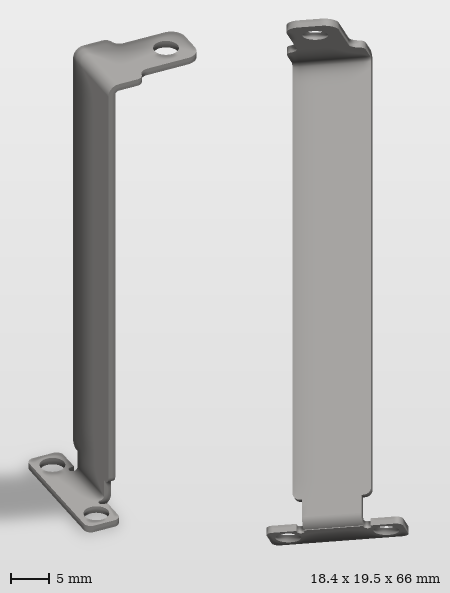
import cadquery as cq
import math

thickness = 1.0
inner_bend_radius = 0.5
outer_bend_radius = inner_bend_radius + thickness
height = 66.0

strip_width = 10.6
strip_corner_radius = 1.0
tab_width = 8.0
shoulder_height = 4.0

foot_width = 18.4
foot_depth = 5.0
foot_corner_radius = 1.0
foot_hole_inset = 2.6
notch_width = 1.0
notch_depth = 1.0

head_reach = 14.5
head_width = 7.0
head_corner_radius = 2.0
neck_end = 6.5
neck_radius = 1.3
neck_shoulder_radius = 1.0
head_hole_inset = 3.5

hole_diameter = 3.4


def make_bent_strip():
    """Side profile of the bent sheet, extruded to the width of the strip."""
    sheet_path = (
        cq.Workplane("YZ", origin=(-strip_width / 2, 0, 0))
        .moveTo(-foot_depth, 0)
        .lineTo(thickness - outer_bend_radius, 0)
        .radiusArc((thickness, outer_bend_radius), -outer_bend_radius)
        .lineTo(thickness, height - outer_bend_radius)
        .radiusArc((outer_bend_radius, height - thickness), inner_bend_radius)
        .lineTo(head_reach, height - thickness)
        .lineTo(head_reach, height)
        .lineTo(outer_bend_radius, height)
        .radiusArc((0, height - outer_bend_radius), -outer_bend_radius)
        .lineTo(0, outer_bend_radius)
        .radiusArc((-inner_bend_radius, thickness), inner_bend_radius)
        .lineTo(-foot_depth, thickness)
        .close()
    )
    return sheet_path.extrude(strip_width)


def make_front_outline():
    """Prism along Y holding the strip above the shoulders and the narrower tab below them."""
    strip_height = height - shoulder_height
    plate_length = foot_depth + head_reach
    middle_y = (head_reach - foot_depth) / 2
    strip = (
        cq.Workplane("XY", origin=(0, middle_y, shoulder_height))
        .box(strip_width, plate_length, strip_height, centered=(True, True, False))
        .edges("|Y and <Z")
        .fillet(strip_corner_radius)
    )
    tab = cq.Workplane("XY", origin=(0, middle_y, 0)).box(
        tab_width, plate_length, height, centered=(True, True, False)
    )
    return strip.union(tab)


def make_plan_outline():
    """Prism along Z with the strip width in front, necking through S-curves to the head."""
    half_strip = strip_width / 2
    half_head = head_width / 2
    hollow_x = half_head + neck_radius
    shoulder_x = half_strip - neck_shoulder_radius
    center_distance = neck_radius + neck_shoulder_radius
    center_step_x = hollow_x - shoulder_x
    center_step_y = math.sqrt(center_distance**2 - center_step_x**2)
    neck_start = neck_end - center_step_y
    hollow_share = neck_radius / center_distance
    blend_x = hollow_x - hollow_share * center_step_x
    blend_y = neck_end - hollow_share * center_step_y
    outline = (
        cq.Workplane("XY")
        .moveTo(-half_strip, -foot_depth)
        .lineTo(half_strip, -foot_depth)
        .lineTo(half_strip, neck_start)
        .radiusArc((blend_x, blend_y), -neck_shoulder_radius)
        .radiusArc((half_head, neck_end), neck_radius)
        .lineTo(half_head, head_reach - head_corner_radius)
        .radiusArc((half_head - head_corner_radius, head_reach), -head_corner_radius)
        .lineTo(head_corner_radius - half_head, head_reach)
        .radiusArc((-half_head, head_reach - head_corner_radius), -head_corner_radius)
        .lineTo(-half_head, neck_end)
        .radiusArc((-blend_x, blend_y), neck_radius)
        .radiusArc((-half_strip, neck_start), -neck_shoulder_radius)
        .close()
    )
    return outline.extrude(height)


def make_foot():
    """Rounded foot plate with a round-ended relief notch on each side of the tab."""
    foot = (
        cq.Workplane("XY", origin=(0, -foot_depth / 2, 0))
        .box(foot_width, foot_depth, thickness, centered=(True, True, False))
        .edges("|Z")
        .fillet(foot_corner_radius)
    )
    notch_x = (tab_width + notch_width) / 2
    notches = (
        cq.Workplane("XY")
        .pushPoints([(-notch_x, 0), (notch_x, 0)])
        .slot2D(2 * notch_depth, notch_width, 90)
        .extrude(thickness)
    )
    return foot.cut(notches)


def make_holes():
    """Two foot holes and one head hole, drilled along Z."""
    foot_hole_x = foot_width / 2 - foot_hole_inset
    foot_hole_y = foot_hole_inset - foot_depth
    hole_centers = [
        (-foot_hole_x, foot_hole_y),
        (foot_hole_x, foot_hole_y),
        (0, head_reach - head_hole_inset),
    ]
    return cq.Workplane("XY").pushPoints(hole_centers).circle(hole_diameter / 2).extrude(height)


bracket = make_bent_strip().intersect(make_front_outline()).intersect(make_plan_outline())
result = bracket.union(make_foot()).cut(make_holes())